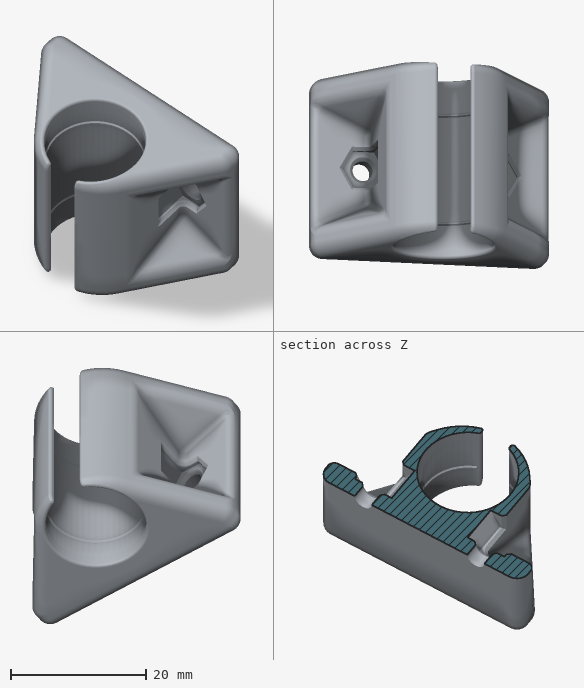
import cadquery as cq
import math

WIDTH = 36.0
HEIGHT = 27.0
SLANT_ANGLE = math.radians(54.0)
SHOULDER_Y = -3.8
NOSE_RADIUS = 10.1
EDGE_RADIUS = 2.0

BORE_RADIUS = 7.5
BORE_Y = -13.0
OPENING = 5.0
LIP_RADIUS = 0.4

RIDGE_HEIGHT = 0.2
RIDGE_WIDTH = 0.6
RIDGE_Z = 8.2

FLOOR_Y = SHOULDER_Y
WALL_X = -9.2
MOUTH_HALF_HEIGHT = 9.5
DRAFT = math.radians(30.0)
VALLEY_RADIUS = 1.0
MOUTH_RADIUS = 2.0
RIM_RADIUS = 1.1

SCREW_X = -10.0
SCREW_DIAMETER = 3.0
SCREW_CHAMFER = 0.5
NUT_FLATS = 5.6
NUT_CHAMFER = 0.5
NUT_DEPTH = 1.0
NUT_END_Y = -8.9

TOLERANCE = 0.01

half_width = WIDTH / 2
half_height = HEIGHT / 2
half_opening = OPENING / 2
half_flats = NUT_FLATS / 2
slope = math.tan(SLANT_ANGLE)
slant_normal = cq.Vector(-math.sin(SLANT_ANGLE), -math.cos(SLANT_ANGLE), 0)


def slant_y(x):
    """Y of the slanted side on the -X half at a given x."""
    return SHOULDER_Y - (x + half_width) * slope


def is_near(value, target):
    return abs(value - target) < TOLERANCE


def edges_where(part, test):
    """The edges of a part whose midpoint passes a test."""
    return part.newObject([edge for edge in part.edges().vals() if test(edge.positionAt(0.5))])


def edges_at(part, x, y):
    """The edges of a part whose midpoint lies above or below the point (x, y)."""
    return edges_where(part, lambda middle: is_near(middle.x, x) and is_near(middle.y, y))


def make_body():
    corners = [
        (-half_width, 0),
        (half_width, 0),
        (half_width, SHOULDER_Y),
        (0, slant_y(0)),
        (-half_width, SHOULDER_Y),
    ]
    body = cq.Workplane("XY").polyline(corners).close().extrude(half_height, both=True)
    body = body.edges("|Z").edges("<Y").fillet(NOSE_RADIUS)
    body = body.edges("|Z").edges("<X or >X").fillet(EDGE_RADIUS)
    return body.faces("|Z").edges().fillet(EDGE_RADIUS)


def make_opening(half_gap):
    """Block that opens the bore toward -Y."""
    return cq.Workplane("XY").box(2 * half_gap, WIDTH, 2 * HEIGHT).translate((0, BORE_Y - half_width, 0))


def cut_clip(body):
    bore = cq.Workplane("XY").center(0, BORE_Y).circle(BORE_RADIUS).extrude(HEIGHT, both=True)
    clip = body.cut(bore).cut(make_opening(half_opening))

    def is_lip(middle):
        on_bore = is_near(math.hypot(middle.x, middle.y - BORE_Y), BORE_RADIUS)
        on_rim = on_bore and abs(middle.z) > half_height - EDGE_RADIUS
        on_tip = is_near(abs(middle.x), half_opening) and middle.y < BORE_Y
        return on_rim or on_tip

    return edges_where(clip, is_lip).fillet(LIP_RADIUS)


def make_recess_walls():
    """Open space in front of the floor and the inner wall, and outside the body, as a prism along Z."""
    outside_x = -WIDTH
    nose_y = slant_y(0)
    side_y = -EDGE_RADIUS
    outline = [
        (-half_width, FLOOR_Y),
        (WALL_X, FLOOR_Y),
        (WALL_X, slant_y(WALL_X)),
        (0, nose_y),
        (outside_x, nose_y),
        (outside_x, side_y),
        (-half_width, side_y),
    ]
    walls = cq.Workplane("XY").polyline(outline).close().extrude(HEIGHT, both=True)
    walls = edges_at(walls, WALL_X, slant_y(WALL_X)).fillet(MOUTH_RADIUS)
    return edges_at(walls, -half_width, FLOOR_Y).fillet(RIM_RADIUS)


def make_recess_taper():
    """Open space between the drafted top and bottom, and outside the body, along the slanted side."""
    origin = cq.Vector(-half_width, SHOULDER_Y, 0)
    along = cq.Vector(0, 0, 1).cross(slant_normal)
    depth = MOUTH_HALF_HEIGHT
    inner_half_height = MOUTH_HALF_HEIGHT - depth * math.tan(DRAFT)
    profile = [
        (WIDTH, HEIGHT),
        (0, HEIGHT),
        (0, MOUTH_HALF_HEIGHT),
        (-depth, inner_half_height),
        (-depth, -inner_half_height),
        (0, -MOUTH_HALF_HEIGHT),
        (0, -HEIGHT),
        (WIDTH, -HEIGHT),
    ]
    plane = cq.Plane(origin=origin, xDir=slant_normal, normal=along)
    taper = cq.Workplane(plane).polyline(profile).close().extrude(WIDTH, both=True)

    def is_mouth(middle):
        in_slant = is_near((middle - origin).dot(slant_normal), 0)
        return in_slant and is_near(abs(middle.z), MOUTH_HALF_HEIGHT)

    return edges_where(taper, is_mouth).fillet(MOUTH_RADIUS)


def cut_recess(body):
    """Recess in the slanted side on the -X half."""
    body = body.cut(make_recess_walls().intersect(make_recess_taper()))

    def meets_inner_corner(edge):
        return any(is_near(end.X, WALL_X) and is_near(end.Y, FLOOR_Y) for end in edge.Vertices())

    valleys = [edge for edge in body.edges().vals() if meets_inner_corner(edge)]
    return body.newObject(valleys).fillet(VALLEY_RADIUS)


def cut_nut_seat(body):
    """Nut seat and screw hole, both along Y, in the recess on the -X half."""
    seat_y = FLOOR_Y + NUT_DEPTH
    nut_diameter = NUT_FLATS / math.cos(math.pi / 6)
    nut = cq.Workplane("XZ", origin=(SCREW_X, NUT_END_Y, 0)).polygon(6, nut_diameter)
    body = body.cut(nut.extrude(NUT_END_Y - seat_y))

    def is_seat_mouth(middle):
        in_seat = abs(middle.x - SCREW_X) < nut_diameter / 2 and abs(middle.z) < half_flats + TOLERANCE
        on_floor = is_near(middle.y, FLOOR_Y) and not is_near(middle.z, 0)
        on_wall = is_near(middle.x, WALL_X) and middle.y > NUT_END_Y - TOLERANCE
        before_wall = middle.x < WALL_X - TOLERANCE
        in_valley = before_wall and FLOOR_Y - VALLEY_RADIUS < middle.y < FLOOR_Y - TOLERANCE
        return in_seat and (on_floor or on_wall or (in_valley and is_near(abs(middle.z), half_flats)))

    body = edges_where(body, is_seat_mouth).chamfer(NUT_CHAMFER)

    radius = SCREW_DIAMETER / 2
    hole_profile = [
        (0, seat_y),
        (radius + SCREW_CHAMFER, seat_y),
        (radius, seat_y + SCREW_CHAMFER),
        (radius, 0),
        (0, 0),
    ]
    hole = cq.Workplane("XY").polyline(hole_profile).close().revolve(360, (0, 0, 0), (0, 1, 0))
    return body.cut(hole.translate((SCREW_X, 0, 0)))


def add_ridge(body, z):
    """Ridge with bevelled flanks around the bore, rooted slightly inside the wall."""
    root_radius = BORE_RADIUS + RIDGE_HEIGHT
    crest_radius = BORE_RADIUS - RIDGE_HEIGHT
    foot = RIDGE_WIDTH / 2
    crest = foot - RIDGE_HEIGHT
    profile = [
        (root_radius, z - foot),
        (BORE_RADIUS, z - foot),
        (crest_radius, z - crest),
        (crest_radius, z + crest),
        (BORE_RADIUS, z + foot),
        (root_radius, z + foot),
    ]
    ring = cq.Workplane("XZ").polyline(profile).close().revolve(360, (0, 0, 0), (0, 1, 0))
    ring = ring.translate((0, BORE_Y, 0)).cut(make_opening(half_opening + LIP_RADIUS))
    return body.union(ring)


result = cut_clip(make_body())
for _ in range(2):
    result = cut_nut_seat(cut_recess(result)).mirror("YZ")
for ridge_z in (-RIDGE_Z, RIDGE_Z):
    result = add_ridge(result, ridge_z)